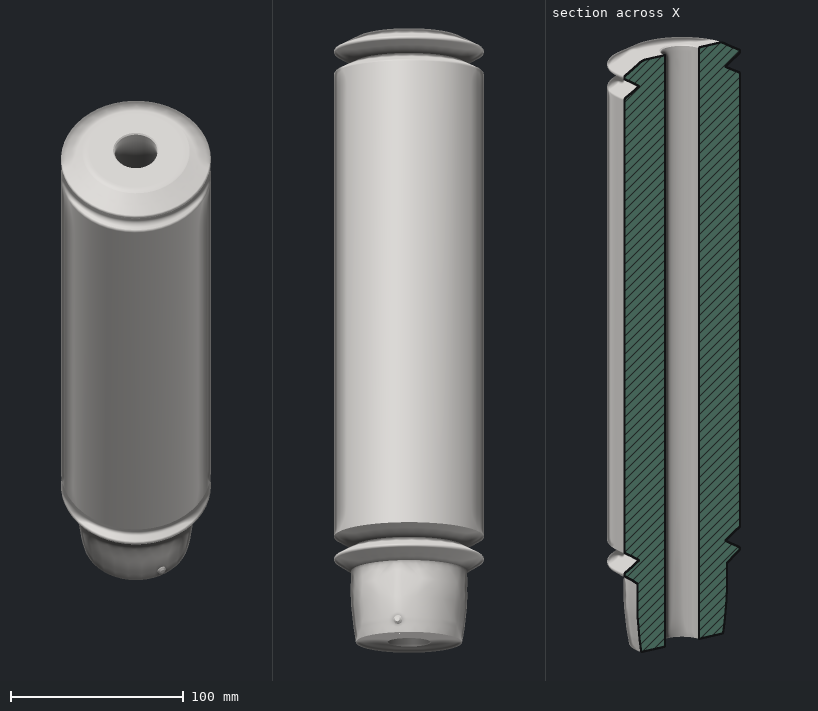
import cadquery as cq
import math

length = 357.7
body_radius = 87.0 / 2
bore_radius = 25.0 / 2
bore_edge_chamfer = 0.7

top_face_radius = 55.0 / 2
shoulder_radius = 31.0
top_slope = 26.0
rim_round = 1.5
top_rim_z = 349.5

neck_radius = 32.5
top_neck_z = 342.5
body_top_z = 336.5
body_edge_round = 1.8
body_bottom_z = 63.0
bottom_neck_z = 56.5
bottom_rim_z = 49.7

spigot_radius = 33.5
spigot_top_z = 42.5
spigot_middle_radius = 33.3
spigot_middle_z = 18.0
spigot_end_radius = 30.8
spigot_end_z = 0.7

nub_diameter = 0.7
nub_x = -27.5

pin_diameter = 5.0
pin_reach = 34.0
pin_root = 28.5
pin_z = 8.0
pin_edge_chamfer = 1.0

shoulder_round = (shoulder_radius - top_face_radius) / math.sin(math.radians(top_slope))


def shoulder_point(angle):
    """Point on the top shoulder, at an angle in degrees from the axis."""
    turn = math.radians(angle)
    return (
        top_face_radius + shoulder_round * math.sin(turn),
        length - shoulder_round * (1 - math.cos(turn)),
    )


def add_rim(outline, rim_z):
    """Continue an outline, going down, around a rounded flange rim."""
    half_angle = math.radians(60)
    inset = rim_round * (1 - math.cos(half_angle))
    rise = rim_round * math.sin(half_angle)
    return outline.lineTo(body_radius - inset, rim_z + rise).threePointArc(
        (body_radius, rim_z), (body_radius - inset, rim_z - rise)
    )


def make_turned_body():
    edge_start_radius = body_radius - body_edge_round / 2
    edge_middle_radius = body_radius - body_edge_round * (1 - math.cos(math.radians(30)))
    body_side_top = body_top_z - body_edge_round / 2
    edge_start_z = body_side_top + body_edge_round * math.sin(math.radians(60))
    edge_middle_z = body_side_top + body_edge_round * math.sin(math.radians(30))

    outline = cq.Workplane("XZ").moveTo(0, length).lineTo(top_face_radius, length)
    outline = outline.threePointArc(shoulder_point(top_slope / 2), shoulder_point(top_slope))
    outline = add_rim(outline, top_rim_z)
    outline = outline.lineTo(neck_radius, top_neck_z)
    outline = outline.lineTo(edge_start_radius, edge_start_z)
    outline = outline.threePointArc((edge_middle_radius, edge_middle_z), (body_radius, body_side_top))
    outline = outline.lineTo(body_radius, body_bottom_z)
    outline = outline.lineTo(neck_radius, bottom_neck_z)
    outline = add_rim(outline, bottom_rim_z)
    outline = outline.lineTo(spigot_radius, spigot_top_z)
    outline = outline.threePointArc((spigot_middle_radius, spigot_middle_z), (spigot_end_radius, spigot_end_z))
    return outline.lineTo(0, spigot_end_z).close().revolve(360, (0, 0, 0), (0, 1, 0))


def make_pin(side):
    """Chamfered pin on the +X (side = 1) or -X (side = -1) side."""
    pin = cq.Workplane("YZ").center(0, pin_z).circle(pin_diameter / 2).extrude(side * pin_reach)
    pin = pin.faces(">X" if side > 0 else "<X").edges().chamfer(pin_edge_chamfer)
    root_block = cq.Workplane("XY").box(2 * pin_root, 2 * pin_diameter, length)
    return pin.cut(root_block)


def make_nub():
    nub = cq.Workplane("XY").center(nub_x, 0).circle(nub_diameter / 2)
    return nub.extrude(2 * spigot_end_z)


def make_bore():
    bore = cq.Workplane("XY").circle(bore_radius).extrude(length)
    entry = (
        cq.Workplane("XY")
        .workplane(offset=length)
        .circle(bore_radius + bore_edge_chamfer)
        .extrude(-bore_edge_chamfer, taper=45)
    )
    return bore.union(entry)


result = make_turned_body()
for pin_side in (-1, 1):
    result = result.union(make_pin(pin_side))
result = result.union(make_nub())
result = result.cut(make_bore())